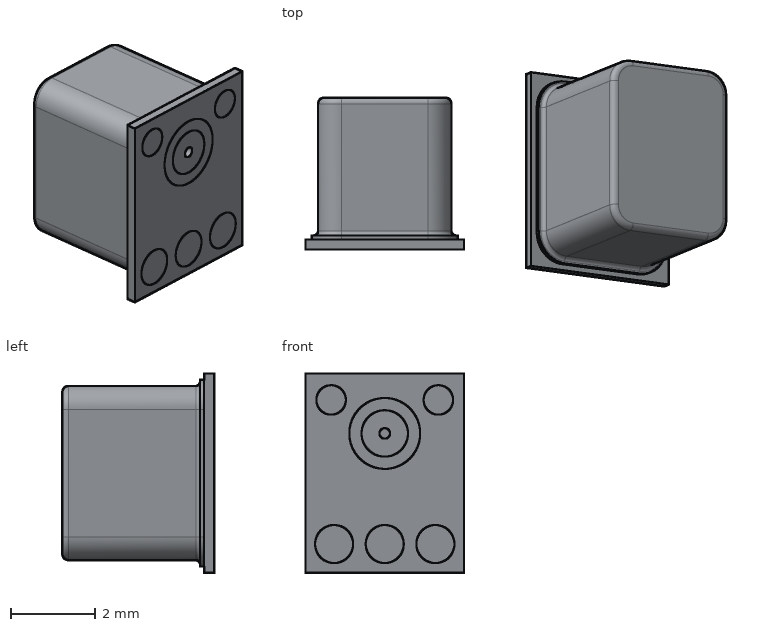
import cadquery as cq

board_width = 3.76
board_height = 4.72
board_thickness = 0.24
total_depth = 3.6

cover_width = 3.162
cover_height = 4.13
cover_corner_radius = 0.555
cover_edge_radius = 0.15
flange_overhang = 0.15
flange_thickness = 0.1
flange_fillet_radius = 0.1
cover_depth = total_depth - board_thickness

contact_thickness = 0.045
upper_pad_diameter = 0.7
upper_pad_offset = 1.27
upper_pad_z = 1.73
lower_pad_diameter = 0.9
lower_pad_pitch = 1.2
lower_pad_z = -1.68
ring_outer_diameter = 1.68
ring_inner_diameter = 1.1

port_diameter = 0.25
port_z = 0.94

upper_pads = [(upper_pad_diameter, side * upper_pad_offset, upper_pad_z) for side in (-1, 1)]
lower_pads = [(lower_pad_diameter, step * lower_pad_pitch, lower_pad_z) for step in (-1, 0, 1)]
pad_layout = upper_pads + lower_pads


def plane_at(y):
    """Plane parallel to the board, with local x along X, local y along Z and its normal toward -Y."""
    return cq.Workplane("XZ", origin=(0, y, 0))


def cylinder(diameter, x, z, depth):
    """Cylinder that runs from the board's front face back to the given depth."""
    return plane_at(0).center(x, z).circle(diameter / 2).extrude(-depth)


def rounded_block(width, height, corner_radius, depth):
    """Block with rounded corners that starts at the back of the board."""
    block = plane_at(board_thickness).rect(width, height).extrude(-depth)
    return block.edges("|Y").fillet(corner_radius)


def make_pad(diameter, x, z):
    return cylinder(diameter, x, z, contact_thickness)


def make_ring():
    return (
        plane_at(0)
        .center(0, port_z)
        .circle(ring_outer_diameter / 2)
        .circle(ring_inner_diameter / 2)
        .extrude(-contact_thickness)
    )


def make_board(contacts):
    """Plate with the port hole and a recess that matches each contact."""
    plate = plane_at(0).rect(board_width, board_height).extrude(-board_thickness)
    plate = plate.cut(cylinder(port_diameter, 0, port_z, board_thickness))
    for contact in contacts:
        plate = plate.cut(contact)
    return plate


def make_cover():
    """Block with a rounded back edge, blended into its flange by a concave fillet."""
    block = rounded_block(cover_width, cover_height, cover_corner_radius, cover_depth)
    block = block.faces(">Y").edges().fillet(cover_edge_radius)

    flange = rounded_block(
        cover_width + 2 * flange_overhang,
        cover_height + 2 * flange_overhang,
        cover_corner_radius + flange_overhang,
        flange_thickness,
    )

    flange_back = board_thickness + flange_thickness
    half_width = cover_width / 2
    half_height = cover_height / 2
    margin = flange_overhang / 2
    wall_foot = cq.selectors.BoxSelector(
        (-half_width - margin, flange_back - margin / 2, -half_height - margin),
        (half_width + margin, flange_back + margin / 2, half_height + margin),
        boundingbox=True,
    )
    return block.union(flange).edges(wall_foot).fillet(flange_fillet_radius)


pads = [make_pad(diameter, x, z) for diameter, x, z in pad_layout]
ring = make_ring()
board = make_board([*pads, ring])
cover = make_cover()

result = cq.Compound.makeCompound([board.val(), cover.val(), ring.val(), *[pad.val() for pad in pads]])